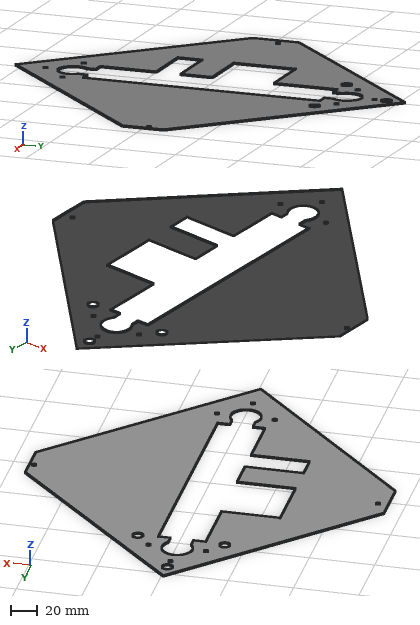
import cadquery as cq

thickness = 1.0
plate_length = 310.0
plate_width = 274.7
left_edge_x = -136.0
right_edge_x = left_edge_x + plate_width
left_edge_length = 36.5
right_edge_length = 33.0
apex_x = -0.3

slot_width = 36.3
slot_length = 188.8
neck_width = 17.7
keyhole_diameter = 23.3
keyhole_y = 109.0

window_left_x = -63.0
large_window_top_y = 44.0
large_window_height = 49.3
small_window_top_y = -30.5
small_window_height = 19.5

screw_diameter = 3.0
screw_offset = 22.0
left_screw = (-128.5, 4.5)
right_screw = (135.0, 3.5)
large_hole_diameter = 8.0
top_large_hole_y = 140.5
side_large_hole_x = 33.2
side_large_hole_y = 96.0


def make_plate():
    outline = [
        (apex_x, plate_length / 2),
        (right_edge_x, right_edge_length / 2),
        (right_edge_x, -right_edge_length / 2),
        (apex_x, -plate_length / 2),
        (left_edge_x, -left_edge_length / 2),
        (left_edge_x, left_edge_length / 2),
    ]
    return cq.Workplane("XY").polyline(outline).close().extrude(thickness)


def round_cutters(centres, diameter):
    return cq.Workplane("XY").pushPoints(centres).circle(diameter / 2).extrude(thickness)


def keyhole_slot_cutter():
    slot = cq.Workplane("XY").rect(slot_width, slot_length).extrude(thickness)
    neck = cq.Workplane("XY").rect(neck_width, 2 * keyhole_y).extrude(thickness)
    ends = round_cutters([(0, keyhole_y), (0, -keyhole_y)], keyhole_diameter)
    return slot.union(neck).union(ends)


def window_cutter(top_y, height):
    """Rectangle from the window's left edge to the slot centreline."""
    centre = (window_left_x / 2, top_y - height / 2)
    return cq.Workplane("XY").center(*centre).rect(-window_left_x, height).extrude(thickness)


screw_centres = [left_screw, right_screw]
for end in (1, -1):
    screw_centres += [
        (-screw_offset, end * keyhole_y),
        (screw_offset, end * keyhole_y),
        (0, end * (keyhole_y + screw_offset)),
    ]

large_hole_centres = [
    (0, top_large_hole_y),
    (-side_large_hole_x, side_large_hole_y),
    (side_large_hole_x, side_large_hole_y),
]

result = (
    make_plate()
    .cut(keyhole_slot_cutter())
    .cut(window_cutter(large_window_top_y, large_window_height))
    .cut(window_cutter(small_window_top_y, small_window_height))
    .cut(round_cutters(screw_centres, screw_diameter))
    .cut(round_cutters(large_hole_centres, large_hole_diameter))
)